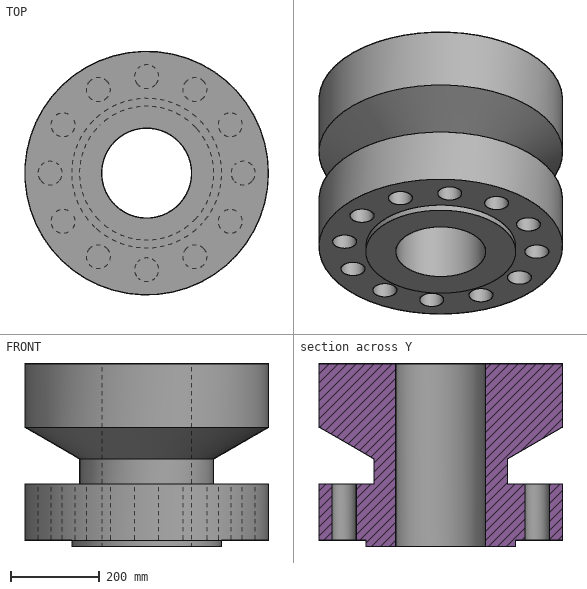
import cadquery as cq

flange_diameter = 552.5
neck_diameter = 304.0
raised_face_diameter = 339.5
bore_diameter = 203.0

raised_face_height = 14.0
flange_height = 128.0
neck_height = 56.5
cone_height = 72.0
total_height = 414.0

bolt_count = 12
bolt_circle_diameter = 437.5
bolt_hole_diameter = 54.0

flange_top = raised_face_height + flange_height
neck_top = flange_top + neck_height
cone_top = neck_top + cone_height


def revolved_body():
    """Raised face, flange, neck, cone and upper drum as one ring around the bore."""
    bore_radius = bore_diameter / 2
    raised_face_radius = raised_face_diameter / 2
    flange_radius = flange_diameter / 2
    neck_radius = neck_diameter / 2
    profile = [
        (bore_radius, 0),
        (raised_face_radius, 0),
        (raised_face_radius, raised_face_height),
        (flange_radius, raised_face_height),
        (flange_radius, flange_top),
        (neck_radius, flange_top),
        (neck_radius, neck_top),
        (flange_radius, cone_top),
        (flange_radius, total_height),
        (bore_radius, total_height),
    ]
    return cq.Workplane("XZ").polyline(profile).close().revolve(360, (0, 0), (0, 1))


def bolt_holes():
    """Ring of cylinders through the lower flange, the first one on the +X axis."""
    return (
        cq.Workplane("XY")
        .workplane(offset=raised_face_height)
        .polarArray(bolt_circle_diameter / 2, 0, 360, bolt_count)
        .circle(bolt_hole_diameter / 2)
        .extrude(flange_height)
    )


result = revolved_body().cut(bolt_holes())